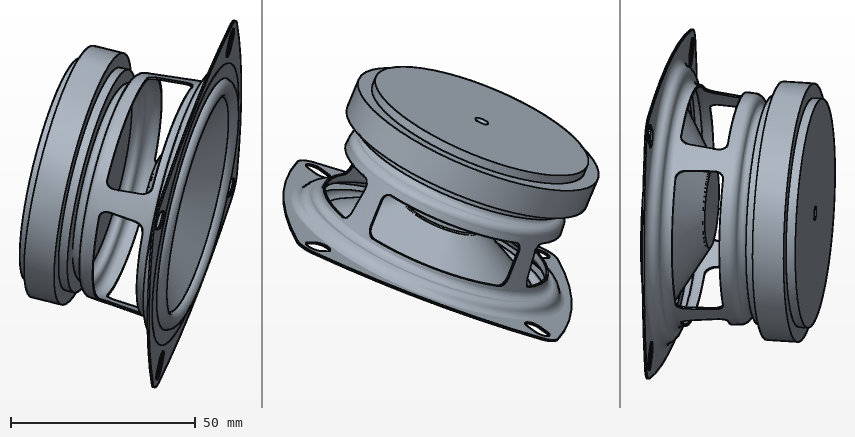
import cadquery as cq
import math


SHEET = 0.5

PLATE_RADIUS = 31.0
PLATE_THICKNESS = 2.5
MAGNET_RADIUS = 35.0
MAGNET_THICKNESS = 8.5
DIMPLE_RADIUS = 1.85
DIMPLE_DEPTH = 1.85
MOTOR_LENGTH = 2 * PLATE_THICKNESS + MAGNET_THICKNESS

BASKET_FRONT = 40.0
FLANGE_REAR = BASKET_FRONT - SHEET
FLANGE_HALF_WIDTH = 41.83
FLANGE_SIDE_RADIUS = 140.0
FLANGE_CORNER_RADIUS = 6.5
SLOT_CENTRE_RADIUS = 45.0
SLOT_WIDTH = 5.0
SLOT_LENGTH = 8.0
SLOT_COUNT = 4
FIRST_SLOT_ANGLE = 45.0
WALL_FRONT_RADIUS = 39.7

BAND_REAR = 18.8
BAND_FRONT = 34.7
BAND_REAR_RADIUS = 31.3
BAND_FRONT_RADIUS = 32.75
BAND_MIDDLE_RADIUS = (BAND_REAR_RADIUS + BAND_FRONT_RADIUS) / 2
BAND_SLOPE = (BAND_FRONT_RADIUS - BAND_REAR_RADIUS) / (BAND_FRONT - BAND_REAR)

SEAT_RADIUS = 26.2
REAR_SHOULDER_MID = (14.05, 27.2)
REAR_SHOULDER = (15.3, 27.9)
REAR_HOLLOW_MID = (16.1, 28.5)
REAR_HOLLOW = (16.4, 29.4)
REAR_CREST_MID = (17.2, 30.8)
FRONT_HOLLOW_MID = (35.9, 33.5)
FRONT_HOLLOW = (36.4, 35.4)
FRONT_SHOULDER_MID = (36.9, 36.8)
FRONT_SHOULDER = (38.0, 37.7)
FLANGE_ROOT_MID = (39.05, 38.6)

WINDOW_REAR = 20.75
WINDOW_FRONT = 33.55
WINDOW_HALF_WIDTH = 20.0
WINDOW_REAR_CORNER_RADIUS = 2.5
WINDOW_FRONT_CORNER_RADIUS = 3.2
WINDOW_COUNT = 4
WINDOW_CUT_DEPTH = 6.0
WINDOW_CUT_MARGIN = 4.0

CONE_REAR = 28.3
CONE_REAR_RADIUS = 11.2
ROLL_HEIGHT = 2.0
ROLL_HALF_WIDTH = 2.5
ROLL_FOOT_WIDTH = 0.6
ROLL_CENTRE_RADIUS = 32.5


def turn(profile):
    """Revolve a closed profile about the X axis."""
    return profile.close().revolve(360, (0, 0, 0), (1, 0, 0))


def disc(start, thickness, radius):
    """Round disc on the axis, from start forward."""
    return cq.Workplane("YZ").workplane(offset=start).circle(radius).extrude(thickness)


def make_motor():
    """Rear plate, magnet and front plate, with a conical centre mark in the rear face."""
    body = disc(0, MOTOR_LENGTH, PLATE_RADIUS)
    body = body.union(disc(PLATE_THICKNESS, MAGNET_THICKNESS, MAGNET_RADIUS))
    dimple = turn(cq.Workplane("XY").lineTo(0, DIMPLE_RADIUS).lineTo(DIMPLE_DEPTH, 0))
    return body.cut(dimple)


def basket_form(shift):
    """Solid filling the pressed wall; the shift moves the wall forward and inward alike."""

    def at(x, radius):
        return (x + shift, radius - shift)

    profile = (
        cq.Workplane("XY")
        .moveTo(MOTOR_LENGTH + shift, 0)
        .lineTo(*at(MOTOR_LENGTH, SEAT_RADIUS))
        .threePointArc(at(*REAR_SHOULDER_MID), at(*REAR_SHOULDER))
        .threePointArc(at(*REAR_HOLLOW_MID), at(*REAR_HOLLOW))
        .threePointArc(at(*REAR_CREST_MID), at(BAND_REAR, BAND_REAR_RADIUS))
        .lineTo(*at(BAND_FRONT, BAND_FRONT_RADIUS))
        .threePointArc(at(*FRONT_HOLLOW_MID), at(*FRONT_HOLLOW))
        .threePointArc(at(*FRONT_SHOULDER_MID), at(*FRONT_SHOULDER))
        .threePointArc(at(*FLANGE_ROOT_MID), at(FLANGE_REAR, WALL_FRONT_RADIUS))
        .lineTo(FLANGE_REAR + shift, 0)
    )
    return turn(profile)


def make_flange():
    """Four bowed sides with rounded corners, and a radial slot in each corner."""
    setback = FLANGE_SIDE_RADIUS - FLANGE_HALF_WIDTH
    corner = (math.sqrt(2 * FLANGE_SIDE_RADIUS**2 - setback**2) - setback) / 2
    h = FLANGE_HALF_WIDTH
    flange = (
        cq.Workplane("YZ")
        .workplane(offset=FLANGE_REAR)
        .moveTo(-corner, -corner)
        .threePointArc((0, -h), (corner, -corner))
        .threePointArc((h, 0), (corner, corner))
        .threePointArc((0, h), (-corner, corner))
        .threePointArc((-h, 0), (-corner, -corner))
        .close()
        .extrude(SHEET)
        .edges("|X")
        .fillet(FLANGE_CORNER_RADIUS)
    )
    slots = (
        cq.Workplane("YZ")
        .workplane(offset=FLANGE_REAR)
        .polarArray(SLOT_CENTRE_RADIUS, FIRST_SLOT_ANGLE, 360, SLOT_COUNT)
        .slot2D(SLOT_LENGTH, SLOT_WIDTH)
        .extrude(SHEET)
    )
    return flange.cut(slots)


def make_window_cutter():
    """Rounded opening facing +Z with radial side walls.

    It narrows toward the axis, and toward the front so that its sides stay parallel on the cone.
    """
    length = WINDOW_FRONT - WINDOW_REAR
    middle = (WINDOW_REAR + WINDOW_FRONT) / 2
    side_height = math.sqrt(BAND_MIDDLE_RADIUS**2 - WINDOW_HALF_WIDTH**2)
    wall_lean = WINDOW_HALF_WIDTH / side_height
    side_taper = BAND_SLOPE * BAND_MIDDLE_RADIUS / side_height * wall_lean
    bottom = side_height - WINDOW_CUT_DEPTH
    top = BAND_FRONT_RADIUS + WINDOW_CUT_MARGIN

    def outline(height):
        rear_width = 2 * wall_lean * height + side_taper * length
        side_angle = 90 - math.degrees(math.atan(side_taper))
        return (
            cq.Sketch()
            .trapezoid(rear_width, length, side_angle, angle=-90)
            .vertices("<X")
            .fillet(WINDOW_REAR_CORNER_RADIUS)
            .reset()
            .vertices(">X")
            .fillet(WINDOW_FRONT_CORNER_RADIUS)
            .moved(cq.Location(cq.Vector(0, 0, height)))
        )

    return (
        cq.Workplane("XY", origin=(middle, 0, 0))
        .placeSketch(outline(bottom), outline(top))
        .loft(ruled=True)
    )


def make_basket():
    """Pressed wall with its rear seat and front flange, pierced by the windows."""
    basket = basket_form(0).union(make_flange())
    basket = basket.cut(basket_form(SHEET))
    window = make_window_cutter()
    for i in range(WINDOW_COUNT):
        basket = basket.cut(window.rotate((0, 0, 0), (1, 0, 0), i * 360 / WINDOW_COUNT))
    return basket


def make_cone():
    """Thin cone with a closed rear, an arched surround roll and a flat rim inside the basket."""
    front_foot = ROLL_CENTRE_RADIUS - ROLL_HALF_WIDTH
    outer_foot = ROLL_CENTRE_RADIUS + ROLL_HALF_WIDTH
    back_foot = front_foot + ROLL_FOOT_WIDTH
    rim_inner = outer_foot - ROLL_FOOT_WIDTH
    slope = (back_foot - CONE_REAR_RADIUS) / (BASKET_FRONT - CONE_REAR)
    floor = CONE_REAR + SHEET
    floor_radius = front_foot - slope * (BASKET_FRONT - floor)
    roll_crest = BASKET_FRONT + ROLL_HEIGHT
    profile = (
        cq.Workplane("XY")
        .moveTo(CONE_REAR, 0)
        .lineTo(CONE_REAR, CONE_REAR_RADIUS)
        .lineTo(BASKET_FRONT, back_foot)
        .threePointArc((roll_crest - SHEET, ROLL_CENTRE_RADIUS), (BASKET_FRONT, rim_inner))
        .lineTo(FLANGE_REAR, rim_inner)
        .lineTo(FLANGE_REAR, outer_foot)
        .lineTo(BASKET_FRONT, outer_foot)
        .threePointArc((roll_crest, ROLL_CENTRE_RADIUS), (BASKET_FRONT, front_foot))
        .lineTo(floor, floor_radius)
        .lineTo(floor, 0)
    )
    rim = disc(FLANGE_REAR, SHEET, WALL_FRONT_RADIUS).cut(disc(FLANGE_REAR, SHEET, rim_inner))
    rim = rim.intersect(basket_form(SHEET))
    return turn(profile).union(rim)


motor = make_motor()
basket = make_basket()
cone = make_cone()

bodies = [body.solids().val() for body in (motor, basket, cone)]
result = cq.Compound.makeCompound(bodies)